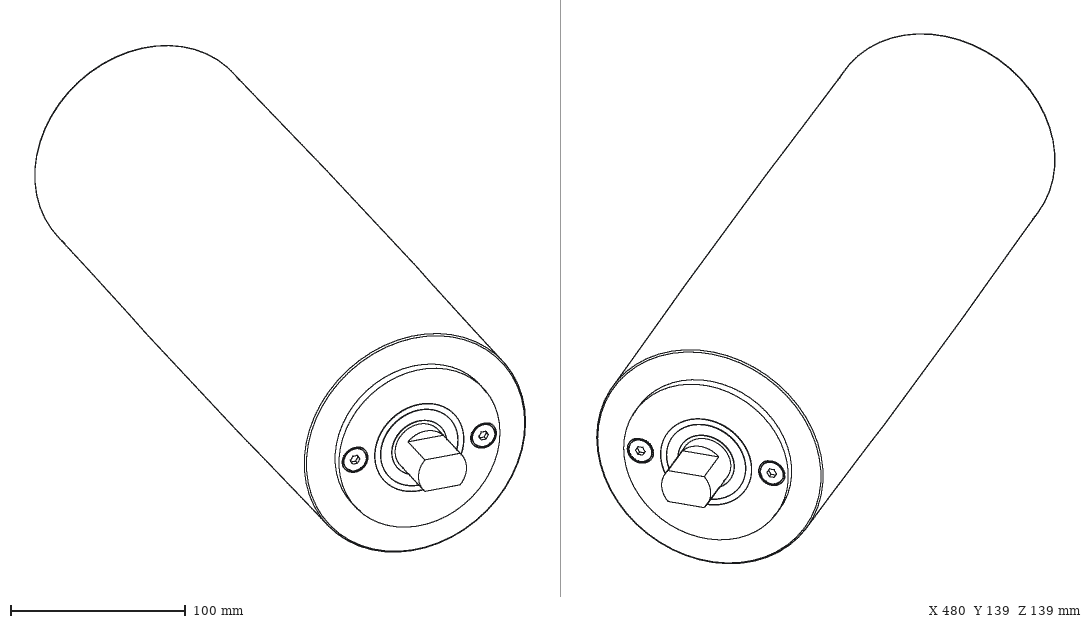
import cadquery as cq

overall_length = 480.0

middle_length = 135.0
middle_diameter = 139.0
body_length = 400.5
end_diameter = 137.5
rim_width = 6.0
rim_chamfer = 1.0

cap_diameter = 100.0
cap_face_span = 412.0
seal_outer_diameter = 55.0
seal_inner_diameter = 48.0
seal_depth = 0.5
clearance_diameter = 34.0
clearance_depth = 0.5

screw_offset = 40.0
counterbore_diameter = 16.0
screw_head_diameter = 14.0
screw_gap_depth = 1.0
socket_corner_diameter = 6.0
socket_depth = 3.0
socket_sides = 6

shaft_diameter = 30.0
flat_length = 25.0
flat_thickness = 20.0


def cylinder_x(diameter, length, start):
    """Solid cylinder along +X from x = start."""
    return cq.Workplane("YZ", origin=(start, 0, 0)).circle(diameter / 2).extrude(length)


def ring_groove(outer_diameter, inner_diameter, depth, offset=0):
    """Ring to cut inward from the -X cap face, with its centre at y = offset."""
    ring = cq.Workplane("YZ", origin=(-cap_face_span / 2, offset, 0))
    return ring.circle(outer_diameter / 2).circle(inner_diameter / 2).extrude(depth)


def roller_body():
    """Crowned body turned around X."""
    half_length = body_length / 2
    cone_end = half_length - rim_width
    middle_end = middle_length / 2
    middle_radius = middle_diameter / 2
    end_radius = end_diameter / 2
    profile = (
        cq.Workplane("XY")
        .moveTo(-half_length, 0)
        .lineTo(-half_length, end_radius - rim_chamfer)
        .lineTo(-half_length + rim_chamfer, end_radius)
        .lineTo(-cone_end, end_radius)
        .lineTo(-middle_end, middle_radius)
        .lineTo(middle_end, middle_radius)
        .lineTo(cone_end, end_radius)
        .lineTo(half_length - rim_chamfer, end_radius)
        .lineTo(half_length, end_radius - rim_chamfer)
        .lineTo(half_length, 0)
        .close()
    )
    return profile.revolve(360, (0, 0, 0), (1, 0, 0))


def cap_recesses():
    """Everything cut into the cap face at the -X end."""
    cuts = ring_groove(seal_outer_diameter, seal_inner_diameter, seal_depth)
    cuts = cuts.add(ring_groove(clearance_diameter, shaft_diameter, clearance_depth))
    for offset in (-screw_offset, screw_offset):
        cuts = cuts.add(ring_groove(counterbore_diameter, screw_head_diameter, screw_gap_depth, offset))
        socket = cq.Workplane("YZ", origin=(-cap_face_span / 2, offset, 0))
        cuts = cuts.add(socket.polygon(socket_sides, socket_corner_diameter).extrude(socket_depth))
    return cuts.combine()


def shaft_flats():
    """Material removed above and below the flats at the -X end."""
    flat_depth = (shaft_diameter - flat_thickness) / 2
    flat_centre_x = (flat_length - overall_length) / 2
    flat_centre_z = (flat_thickness + flat_depth) / 2
    block = cq.Workplane("XY").box(flat_length, shaft_diameter, flat_depth)
    upper = block.translate((flat_centre_x, 0, flat_centre_z))
    return upper.union(upper.mirror("XY"))


end_cuts = cap_recesses().union(shaft_flats())

result = (
    roller_body()
    .union(cylinder_x(cap_diameter, cap_face_span, -cap_face_span / 2))
    .union(cylinder_x(shaft_diameter, overall_length, -overall_length / 2))
    .cut(end_cuts)
    .cut(end_cuts.mirror("YZ"))
)